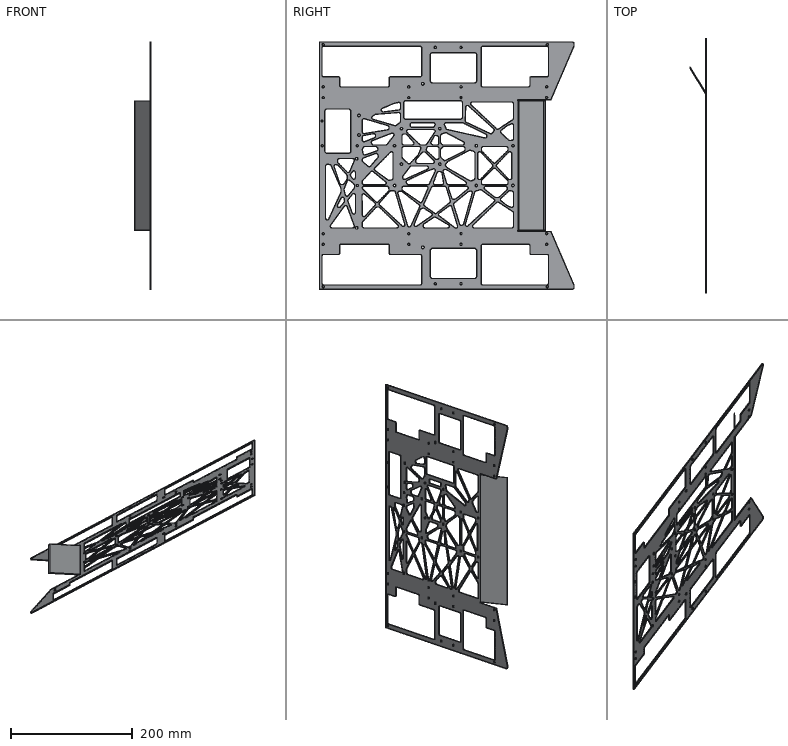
import cadquery as cq
import math

LENGTH = 418.0
HEIGHT = 406.0
DEPTH = 26.8
SHEET = 1.6

WING_END_HEIGHT = 6.5
WING_ROOT_Y = 171.0
NOTCH_HALF_HEIGHT = 108.0
NOTCH_FLOOR_Y = 116.5
WING_CORNER_RADIUS = 3.0

FLAP_HALF_HEIGHT = 106.2
FLAP_ANGLE = 31.5

RAIL_WINDOW_TOP = 195.5
RAIL_WINDOW_STEP = 146.0
RAIL_WINDOW_BOTTOM = 129.2
RAIL_WINDOW_RADIUS = 2.0
LEFT_RAIL_WINDOW_Y = (57.0, 167.0)
LEFT_RAIL_STEP_Y = 136.5
RIGHT_RAIL_WINDOW_Y = (-204.5, -41.5)
RIGHT_RAIL_STEPS_Y = (-175.5, -94.5)
PANEL_WINDOW_Y = (-26.8, 49.0)
PANEL_WINDOW_Z = (136.0, 185.3)
PANEL_WINDOW_RADIUS = 3.5

LONG_WINDOW_Y = (-70.3, 25.5)
LONG_WINDOW_Z = (76.5, 106.2)
TALL_WINDOW_Y = (-200.0, -157.5)
TALL_WINDOW_Z = (20.5, 93.0)

CUTTER_RADIUS = 2.5
WEB_LEFT = 109.5
WEB_RIGHT = -138.5
WEB_TOP = 104.0
WEB_BOTTOM = -102.0
ROW_Z = 32.5
ROW_RIB_WIDTH = 3.0

SMALL_HOLE = 3.0
RAIL_HOLE = 3.25
WEB_HOLE = 3.7
NODE_HOLE = 4.0
LOCATING_HOLE = 4.0

RAIL_COLUMNS = (164.0, 23.5, -62.5, -203.0)
SMALL_HOLE_ROW = 111.5
RAIL_HOLE_ROW = 129.2
RAIL_EDGE_HOLES = [(165.0, 198.5), (-203.0, 198.5), (23.5, 194.0), (-19.0, 194.0)]
LOCATING_HOLES = [(-39.5, 134.2)]
ROW_COLUMNS = (108.7, 48.5, -85.7)
ROW_END_COLUMN = -146.8
CENTRE_COLUMNS = (-11.3, -74.5)
CENTRE_ROWS = (60.5, 2.5)
NODE_HOLES = [(-144.3, 82.5), (-144.3, 50.0), (-148.0, 11.3), (-148.0, -102.0)]
EDGE_SMALL_HOLE = (-205.0, 73.0)
EDGE_ROW_HOLE = (-204.5, ROW_Z)

LEFT = WEB_LEFT - CUTTER_RADIUS
RIGHT = WEB_RIGHT + CUTTER_RADIUS
TOP = WEB_TOP - CUTTER_RADIUS
BOTTOM = WEB_BOTTOM + CUTTER_RADIUS
ABOVE_ROW = ROW_Z + ROW_RIB_WIDTH / 2 + CUTTER_RADIUS
BELOW_ROW = ROW_Z - ROW_RIB_WIDTH / 2 - CUTTER_RADIUS

UPPER_LEFT_WINDOWS = [
    [(LEFT, 77.8), (LEFT, TOP), (42.0, TOP), (83.5, 62.5)],
    [(33.0, 73.5), (72.8, 54.8), (75.3, 58.5), (34.0, 96.0)],
    [(63.0, 48.0), (63.0, 49.5), (25.5, 67.7), (-1.3, 67.7), (1.3, 62.0)],
]
UPPER_RIGHT_WINDOWS = [
    [(-78.5, 94.0), (-78.5, 101.0), (-85.7, 99.5), (-105.0, 91.5), (-104.5, 90.7)],
    [(-78.5, 72.8), (-78.5, 84.5), (-116.3, 81.5), (-120.5, 78.5), (-84.5, 68.0)],
    [(RIGHT, 55.0), (RIGHT, 74.5), (-97.5, 63.0), (-97.5, 61.5)],
    [(-89.0, 50.5), (-92.0, 49.8), (-121.3, 38.5), (-120.5, ABOVE_ROW), (-100.0, ABOVE_ROW)],
    [(RIGHT, 42.0), (RIGHT, 47.0), (-119.5, 49.8), (-119.5, 48.0)],
    [(-116.3, BELOW_ROW), (-134.5, BELOW_ROW), (RIGHT, 26.5), (-134.5, 20.0), (-115.5, 26.8)],
    [(-115.0, 15.0), (-116.0, 17.5), (RIGHT, 10.0), (RIGHT, 8.0), (-127.0, 1.0)],
]
CENTRE_WINDOWS = [
    [(-57.3, 67.7), (-21.7, 67.7), (-22.5, 65.5), (-57.3, 65.5)],
    [(-63.5, 56.5), (-21.7, 56.5), (-35.0, ABOVE_ROW), (-42.5, ABOVE_ROW)],
    [(26.5, ABOVE_ROW), (-1.5, 51.5), (-7.5, 49.5), (-7.5, 38.5), (-6.0, ABOVE_ROW)],
    [(-70.5, 49.5), (-70.5, ABOVE_ROW), (-56.5, ABOVE_ROW), (-67.5, 49.5)],
    [(-16.0, ABOVE_ROW), (-16.0, 46.5), (-18.5, 47.0), (-23.5, 37.5), (-22.5, ABOVE_ROW)],
    [(27.0, BELOW_ROW), (27.0, 26.0), (-3.5, 11.0), (-7.5, 15.0), (-7.5, 26.0), (-4.5, BELOW_ROW)],
    [(-15.5, BELOW_ROW), (-30.0, BELOW_ROW), (-31.0, 26.0), (-17.0, 13.0), (-15.5, 13.0)],
    [(-45.0, BELOW_ROW), (-70.5, BELOW_ROW), (-70.5, 14.0), (-62.0, 5.5), (-49.5, 19.0)],
    [(-23.0, 6.3), (-36.5, 19.5), (-38.5, 19.5), (-48.0, 8.8), (-48.0, 6.3)],
    [(43.5, -21.0), (43.5, 21.0), (38.0, 22.5), (3.5, 4.5), (0.5, 1.0), (3.5, -2.0), (39.5, -22.5)],
    [(-32.5, -3.5), (-58.0, -3.5), (-69.5, -18.0), (-69.5, -20.0)],
    [(-21.5, -8.0), (-33.0, -12.0), (-64.0, -26.8), (-63.0, -BELOW_ROW), (-31.0, -BELOW_ROW)],
    [(2.5, -BELOW_ROW), (29.5, -BELOW_ROW), (-1.3, -9.0), (-3.5, -9.0)],
    [(-10.5, -12.5), (-13.5, -12.5), (-19.2, -BELOW_ROW), (-8.0, -BELOW_ROW)],
    [(-90.7, 20.0), (-116.3, -6.0), (-95.0, -21.5), (-90.7, -21.0)],
    [(-122.5, -11.5), (RIGHT, -26.0), (RIGHT, -BELOW_ROW), (-102.0, -BELOW_ROW)],
]
LOWER_WINDOWS = [
    [(64.0, -ABOVE_ROW), (96.5, -ABOVE_ROW), (96.5, -38.5), (84.5, -49.8), (80.3, -49.8)],
    [(76.0, -57.3), (55.5, -42.2), (48.5, -44.5), (33.0, -97.0)],
    [(83.5, -62.5), (LEFT, -77.8), (LEFT, BOTTOM), (44.7, BOTTOM)],
    [(32.5, -ABOVE_ROW), (5.5, -ABOVE_ROW), (11.0, -52.5), (14.2, -52.0)],
    [(39.5, -44.5), (36.5, -45.0), (14.0, -63.5), (24.0, -95.8), (25.0, -95.0)],
    [(-3.5, -ABOVE_ROW), (-22.5, -ABOVE_ROW), (-35.0, -64.0), (-18.5, -76.0), (3.5, -58.5)],
    [(-33.5, -ABOVE_ROW), (-70.5, -ABOVE_ROW), (-70.5, -39.0), (-42.5, -58.0)],
    [(-77.8, -44.7), (-75.0, -44.7), (-47.0, -66.5), (-61.5, -98.3)],
    [(-87.0, -44.0), (-91.5, -44.0), (-108.5, -62.7), (-71.5, -97.0)],
    [(15.0, -100.0), (5.5, -68.0), (-11.0, -80.3)],
    [(-38.5, -72.5), (-41.0, -73.0), (-51.0, -97.5), (-26.5, -80.3)],
    [(1.5, BOTTOM), (-36.0, BOTTOM), (-36.0, -98.0), (-19.5, -87.0)],
    [(-98.0, -ABOVE_ROW), (RIGHT, -ABOVE_ROW), (-114.5, -57.5), (-97.5, -40.0)],
    [(-136.5, -49.0), (RIGHT, -81.0), (-119.5, -63.0)],
    [(-111.5, -70.5), (-114.5, -70.5), (RIGHT, -93.5), (RIGHT, BOTTOM), (-82.0, BOTTOM)],
]
RIGHT_BAY_WINDOWS = [
    [(-154.5, 8.8), (-176.5, 8.8), (-176.5, 6.3), (-162.0, -8.8)],
    [(-182.5, -1.0), (-180.0, -1.5), (-166.0, -16.7), (-166.0, -21.0), (-170.5, -28.5), (-173.0, -28.5)],
    [(-196.0, -0.5), (-192.5, -1.0), (-176.5, -37.5), (-176.5, -43.5), (-196.0, -86.5)],
    [(-152.5, -11.3), (-155.5, -15.0), (-152.5, -19.5)],
    [(-161.0, -26.5), (-154.5, -31.8), (-154.5, -36.0), (-164.0, -47.5), (-166.0, -39.5)],
    [(-152.5, -48.5), (-159.7, -57.3), (-152.5, -77.0)],
    [(-171.0, -54.5), (-177.0, -66.0), (-170.5, -58.5)],
    [(-166.0, -68.0), (-154.5, BOTTOM), (-188.5, BOTTOM)],
]

BRACED_BAY_SIDE_WINDOWS = [
    [(104.0, -20.0), (104.0, 20.0), (103.0, 20.0), (84.0, 0.0), (103.0, -20.0)],
    [(53.5, -20.0), (53.5, 20.0), (54.5, 20.0), (73.0, 0.0), (54.5, -20.0)],
]

MIRRORED_WINDOWS = [
    [(98.0, BELOW_ROW), (60.0, BELOW_ROW), (60.0, 25.0), (78.0, 6.5), (98.0, 26.0)],
    [(LEFT, 44.5), (LEFT, 66.0), (100.0, 63.0), (90.7, 55.5), (103.3, 44.0)],
]


def yz_prism(points):
    return cq.Workplane("YZ").polyline(points).close().extrude(SHEET)


def mirrored_pair(body):
    return body.union(body.mirror("XY"))


def window(corner_centres):
    return cq.Workplane("YZ").polyline(corner_centres).close().offset2D(CUTTER_RADIUS).extrude(SHEET)


def rectangle(y_limits, z_limits, radius):
    y_low, y_high = y_limits
    z_low, z_high = z_limits
    points = [(y_low, z_low), (y_high, z_low), (y_high, z_high), (y_low, z_high)]
    return yz_prism(points).edges("|X").fillet(radius)


def drill(body, places, diameter):
    holes = cq.Workplane("YZ").pushPoints(places).circle(diameter / 2).extrude(SHEET)
    return body.cut(holes)


def both_ways(places):
    return [(y, side * z) for y, z in places for side in (1, -1)]


def blank():
    end_y = LENGTH / 2
    top_z = HEIGHT / 2
    wing = [
        (-end_y, 0),
        (-end_y, top_z),
        (end_y, top_z),
        (end_y, top_z - WING_END_HEIGHT),
        (WING_ROOT_Y, NOTCH_HALF_HEIGHT),
        (NOTCH_FLOOR_Y, NOTCH_HALF_HEIGHT),
        (NOTCH_FLOOR_Y, 0),
    ]
    upper_half = yz_prism(wing).edges("|X and >Y").fillet(WING_CORNER_RADIUS)
    return mirrored_pair(upper_half)


def flap():
    reach = DEPTH - SHEET
    root_x = SHEET / 2
    angle = math.radians(FLAP_ANGLE)
    end_width = SHEET / math.sin(angle)
    tip_y = NOTCH_FLOOR_Y + (reach + root_x) / math.tan(angle)
    back_y = NOTCH_FLOOR_Y + end_width - (SHEET - root_x) / math.tan(angle)
    profile = [
        (SHEET, NOTCH_FLOOR_Y),
        (root_x, NOTCH_FLOOR_Y),
        (-reach, tip_y),
        (-reach, tip_y + end_width),
        (SHEET, back_y),
    ]
    return cq.Workplane("XY").polyline(profile).close().extrude(FLAP_HALF_HEIGHT, both=True)


def rail_windows():
    left_low_y, left_high_y = LEFT_RAIL_WINDOW_Y
    left = [
        (left_high_y, RAIL_WINDOW_TOP),
        (left_low_y, RAIL_WINDOW_TOP),
        (left_low_y, RAIL_WINDOW_BOTTOM),
        (LEFT_RAIL_STEP_Y, RAIL_WINDOW_BOTTOM),
        (LEFT_RAIL_STEP_Y, RAIL_WINDOW_STEP),
        (left_high_y, RAIL_WINDOW_STEP),
    ]
    right_low_y, right_high_y = RIGHT_RAIL_WINDOW_Y
    step_low_y, step_high_y = RIGHT_RAIL_STEPS_Y
    right = [
        (right_high_y, RAIL_WINDOW_TOP),
        (right_low_y, RAIL_WINDOW_TOP),
        (right_low_y, RAIL_WINDOW_STEP),
        (step_low_y, RAIL_WINDOW_STEP),
        (step_low_y, RAIL_WINDOW_BOTTOM),
        (step_high_y, RAIL_WINDOW_BOTTOM),
        (step_high_y, RAIL_WINDOW_STEP),
        (right_high_y, RAIL_WINDOW_STEP),
    ]
    cutter = rectangle(PANEL_WINDOW_Y, PANEL_WINDOW_Z, PANEL_WINDOW_RADIUS)
    for points in (left, right):
        cutter = cutter.union(yz_prism(points).edges("|X").fillet(RAIL_WINDOW_RADIUS))
    return mirrored_pair(cutter)


def web_windows():
    groups = (
        UPPER_LEFT_WINDOWS,
        UPPER_RIGHT_WINDOWS,
        CENTRE_WINDOWS,
        LOWER_WINDOWS,
        RIGHT_BAY_WINDOWS,
        BRACED_BAY_SIDE_WINDOWS,
    )
    cutters = [window(corner_centres) for group in groups for corner_centres in group]
    return cutters + [mirrored_pair(window(corner_centres)) for corner_centres in MIRRORED_WINDOWS]


def drill_rails(body):
    body = drill(body, both_ways([(y, SMALL_HOLE_ROW) for y in RAIL_COLUMNS]), SMALL_HOLE)
    body = drill(body, both_ways([(y, RAIL_HOLE_ROW) for y in RAIL_COLUMNS]), RAIL_HOLE)
    body = drill(body, both_ways(RAIL_EDGE_HOLES), RAIL_HOLE)
    return drill(body, both_ways(LOCATING_HOLES), LOCATING_HOLE)


def drill_web(body):
    body = drill(body, both_ways([(y, ROW_Z) for y in ROW_COLUMNS]), WEB_HOLE)
    body = drill(body, both_ways([(ROW_END_COLUMN, ROW_Z)]), RAIL_HOLE)
    body = drill(body, [EDGE_ROW_HOLE], RAIL_HOLE)
    body = drill(body, [EDGE_SMALL_HOLE], SMALL_HOLE)
    body = drill(body, [(y, z) for y in CENTRE_COLUMNS for z in CENTRE_ROWS], WEB_HOLE)
    return drill(body, NODE_HOLES, NODE_HOLE)


plate = blank().cut(rail_windows())
plate = plate.cut(rectangle(LONG_WINDOW_Y, LONG_WINDOW_Z, CUTTER_RADIUS))
plate = plate.cut(rectangle(TALL_WINDOW_Y, TALL_WINDOW_Z, PANEL_WINDOW_RADIUS))
for cutter in web_windows():
    plate = plate.cut(cutter)
plate = drill_web(drill_rails(plate))

result = plate.union(flap())